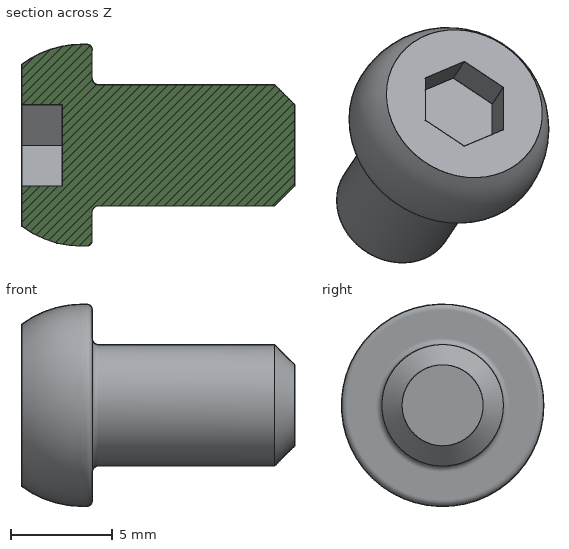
import cadquery as cq
import math

head_diameter = 10.0
head_height = 3.5
head_face_diameter = 8.0
rim_fillet = 0.3

shank_diameter = 6.0
shank_length = 10.0
neck_fillet = 0.3
tip_chamfer = 1.0

socket_across_flats = 4.0
socket_depth = 2.0

head_radius = head_diameter / 2
face_radius = head_face_diameter / 2
shank_radius = shank_diameter / 2

dome_height = math.sqrt(head_radius**2 - face_radius**2)
face_x = -head_height
dome_end_x = face_x + dome_height
tip_x = shank_length


def point_on_dome(angle):
    """Profile point at an angle from the head's widest section, toward the face."""
    return (dome_end_x - head_radius * math.sin(angle), head_radius * math.cos(angle))


def corner_arc_middle(center_x, center_radius, arc_radius, x_sign, radial_sign):
    """Middle of a quarter arc lying on the given side of its centre."""
    offset = arc_radius * math.sqrt(0.5)
    return (center_x + x_sign * offset, center_radius + radial_sign * offset)


def screw_body():
    """Head and shank, turned about the X axis."""
    dome_angle = math.asin(dome_height / head_radius)
    rim_middle = corner_arc_middle(-rim_fillet, head_radius - rim_fillet, rim_fillet, 1, 1)
    neck_middle = corner_arc_middle(neck_fillet, shank_radius + neck_fillet, neck_fillet, -1, -1)
    profile = (
        cq.Workplane("XY")
        .moveTo(face_x, 0)
        .lineTo(face_x, face_radius)
        .threePointArc(point_on_dome(dome_angle / 2), (dome_end_x, head_radius))
        .lineTo(-rim_fillet, head_radius)
        .threePointArc(rim_middle, (0, head_radius - rim_fillet))
        .lineTo(0, shank_radius + neck_fillet)
        .threePointArc(neck_middle, (neck_fillet, shank_radius))
        .lineTo(tip_x - tip_chamfer, shank_radius)
        .lineTo(tip_x, shank_radius - tip_chamfer)
        .lineTo(tip_x, 0)
        .close()
    )
    return profile.revolve(360, (0, 0, 0), (1, 0, 0))


def hex_socket():
    """Hexagonal prism sunk into the head face, with corners on the Z axis."""
    across_corners = socket_across_flats / math.cos(math.pi / 6)
    corner_turn = 90
    return (
        cq.Workplane("YZ", origin=(face_x, 0, 0))
        .polygon(6, across_corners)
        .extrude(socket_depth)
        .rotate((0, 0, 0), (1, 0, 0), corner_turn)
    )


result = screw_body().cut(hex_socket())